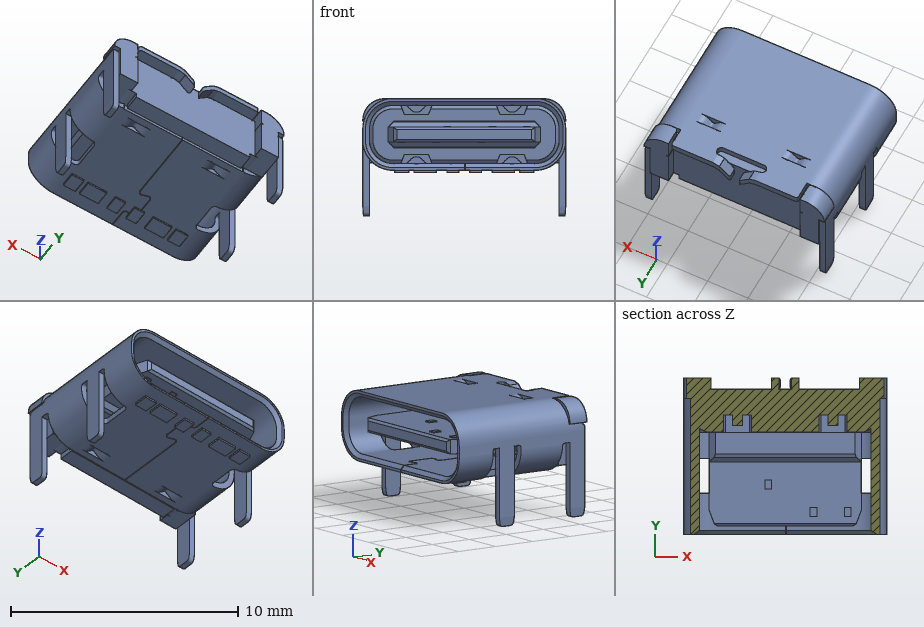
import cadquery as cq


shell_width = 8.94
shell_height = 3.16
shell_depth = 6.9
wall = 0.3
corner_radius = 1.33
lead_in = 0.18
half_width = shell_width / 2
half_height = shell_height / 2
inner_half_width = half_width - wall
inner_half_height = half_height - wall
flat_half_width = half_width - corner_radius
flat_half_height = half_height - corner_radius

leg_width = 0.81
leg_rear_y = 6.79
rear_leg_y = leg_rear_y - leg_width / 2
front_leg_y = 2.58
leg_bottom = -3.58
leg_tip_length = 0.4
leg_tip_taper = 0.06
leg_tip_radius = 0.17
leg_tip_coining = 0.03
floor_end_y = 5.58
rear_relief_top = -0.21
front_relief_start_y = 1.83
front_relief_end_y = 3.34
front_relief_top = -0.03
relief_radius = 0.12
relief_floor_radius = 0.2
floor_cut_x = flat_half_width - 0.05

ear_length = 0.92
ear_bottom = 0.6
ear_inner_x = 3.26
ear_radius = 0.97
ear_corner_radius = 0.17
ear_lower_radius = 0.1
ear_gap = 0.13
ear_start_y = shell_depth - ear_length
shell_top_rear_x = ear_inner_x - ear_gap
shell_rear_radius = 0.1
side_corner_chamfer = 0.13

latch_slot_length = 2.42
latch_slot_width = 0.41
latch_length = 0.5
latch_start_x = 1.04
latch_end_x = 0.22
latch_drop = 0.55
latch_bend = 0.3
latch_bend_drop = 0.09
latch_corner_radius = 0.1
latch_start_y = shell_depth - latch_length

spring_x = 2.105
spring_y = 5.03
spring_width = 0.46
spring_length = 1.17
spring_inner_length = 0.87
spring_dip = 0.29
spring_shoulder_x = 0.26
spring_shoulder_dip = 0.12
spring_valley_x = 0.06
spring_crown_x = 0.16
spring_valley_rise = 0.02

housing_front_y = 4.5
housing_chamfer = 0.15
housing_bottom = -1.25
spring_notch_length = 1.38
spring_notch_floor = 1.05
spring_notch_depth = 0.41
foot_front_y = 5.67
foot_half_width = 3.0
foot_bottom = -1.54

tongue_half_width = 3.35
tongue_half_height = 0.32
tongue_front_y = 0.37
tongue_tip_half_width = 3.08
tongue_taper_length = 0.69
tip_chamfer = 0.11
root_front_y = 3.2
root_half_height = 0.6
root_step_half_height = 0.54
root_lower_slope = 0.2
root_upper_slope = 0.15
root_corner = 0.28

contacts = ((-0.75, 2.0), (1.25, 0.8), (2.75, 0.8))
contact_width = 0.3
contact_length = 0.4
contact_height = 0.04

seam_x = 0.03
seam_width = 0.03
seam_lock_start_y = 1.0
seam_lock_end_y = 2.0
seam_lock_x = -0.6
seam_lock_flare = 0.23
seam_bend_radius = 0.15

pads = ((0.505, 0.53), (1.72, 0.99), (2.75, 0.63))
pad_height = 0.1
pad_start_y = 0.67
pad_end_y = 1.36


def box(x0, x1, y0, y1, z0, z1):
    """Box between two corners."""
    return cq.Workplane("XY").box(x1 - x0, y1 - y0, z1 - z0, centered=False).translate((x0, y0, z0))


def front_sketch(y):
    """Workplane facing the mouth: local axes are X and Z."""
    return cq.Workplane("XZ", origin=(0, y, 0))


def mouth_outline(inset):
    """Rounded mouth outline, inset from the outside of the shell."""
    outline = cq.Sketch().rect(shell_width - 2 * inset, shell_height - 2 * inset)
    return outline.vertices().fillet(corner_radius - inset)


def mouth_prism(inset, y0, y1):
    """Solid with the rounded mouth outline, running from y0 to y1."""
    return front_sketch(y0).placeSketch(mouth_outline(inset)).extrude(y0 - y1)


def both_sides(solid):
    """The solid together with its mirror image about X = 0."""
    return solid.union(solid.mirror("YZ"))


def top_and_bottom(solid):
    """The solid together with its mirror image about Z = 0."""
    return solid.union(solid.mirror("XY"))


def relief_cut(y0, y1, top):
    """Removes the lower shell corner between y0 and y1, rounded at its upper end and in the floor."""
    cut = box(floor_cut_x, half_width + wall, y0, y1, -half_height - wall, top)
    cut = cut.edges("|Z and <X").fillet(relief_floor_radius)
    return cut.edges("|X and >Z").fillet(relief_radius)


def make_leg(y):
    """Flat solder leg with a narrowed, rounded and slightly coined tip."""
    tip_top = leg_bottom + leg_tip_length
    half = leg_width / 2
    tip_half = half - leg_tip_taper
    side = (
        cq.Workplane("YZ", origin=(inner_half_width, y, 0))
        .moveTo(-half, flat_half_height)
        .lineTo(-half, tip_top)
        .lineTo(-tip_half, leg_bottom)
        .lineTo(tip_half, leg_bottom)
        .lineTo(half, tip_top)
        .lineTo(half, flat_half_height)
        .close()
        .extrude(wall)
    )
    side = side.edges("|X and <Z").fillet(leg_tip_radius)
    coining = (
        front_sketch(y - leg_width)
        .moveTo(half_width, tip_top)
        .lineTo(half_width, leg_bottom)
        .lineTo(half_width - leg_tip_coining, leg_bottom)
        .close()
        .extrude(-2 * leg_width)
    )
    return side.cut(coining)


def make_tube():
    """Shell tube with a flared mouth."""
    throat = mouth_outline(wall).moved(cq.Location(cq.Vector(0, 0, -lead_in)))
    flare = front_sketch(0).placeSketch(mouth_outline(wall - lead_in), throat).loft()
    return mouth_prism(0, 0, shell_depth).cut(mouth_prism(wall, 0, shell_depth)).cut(flare)


def cut_shell_rear(shell):
    """Clears the ears, the open rear floor and the side walls behind the rear legs."""
    beyond = shell_depth + wall
    ear_clearance = box(shell_top_rear_x, half_width, ear_start_y, beyond, ear_bottom, half_height)
    side_end = box(flat_half_width, half_width, leg_rear_y, beyond, -half_height, ear_bottom)
    side_corner = (
        cq.Workplane("YZ", origin=(flat_half_width, 0, 0))
        .moveTo(leg_rear_y, ear_bottom)
        .lineTo(leg_rear_y - side_corner_chamfer, ear_bottom)
        .lineTo(leg_rear_y, ear_bottom - side_corner_chamfer)
        .close()
        .extrude(corner_radius)
    )
    open_floor = box(0, flat_half_width, floor_end_y, beyond, -half_height, housing_bottom)
    cuts = ear_clearance.union(side_end).union(side_corner).union(open_floor)
    shell = shell.cut(both_sides(cuts))
    return shell.cut(both_sides(rear_corner_cut()))


def rear_corner_cut():
    """Waste outside the rounded rear corner of the shell top."""
    x0 = shell_top_rear_x - shell_rear_radius
    y0 = shell_depth - shell_rear_radius
    corner = box(x0, shell_top_rear_x, y0, shell_depth, inner_half_height, half_height)
    round_bar = cq.Workplane("XY").center(x0, y0).circle(shell_rear_radius).extrude(half_height)
    return corner.cut(round_bar)


def make_latch():
    """Latch tongue bending down towards the centre from the rear edge of the shell top."""
    bend_x = latch_start_x - latch_bend
    bend_z = half_height - latch_bend_drop
    tip_z = half_height - latch_drop
    strip = (
        front_sketch(latch_start_y)
        .moveTo(latch_start_x, half_height)
        .lineTo(bend_x, bend_z)
        .lineTo(latch_end_x, tip_z)
        .lineTo(latch_end_x, tip_z - wall)
        .lineTo(bend_x, bend_z - wall)
        .lineTo(latch_start_x, inner_half_height)
        .close()
        .extrude(-latch_length)
    )
    return strip.edges("|Z and <X").fillet(latch_corner_radius)


def add_latches(shell):
    """Opens the rear of the shell top and hangs the two latch tongues in it."""
    slot_y = latch_start_y - latch_slot_width / 2
    slot = cq.Workplane("XY").center(0, slot_y).slot2D(latch_slot_length, latch_slot_width)
    slot = slot.extrude(half_height)
    opening = box(-latch_start_x, latch_start_x, slot_y, shell_depth, 0, half_height)
    return shell.cut(slot).cut(opening).union(both_sides(make_latch()))


def make_spring():
    """Strip bowed into the cavity from the shell top by rounded shoulders and a rounded valley."""
    half = spring_length / 2
    inner_half = spring_inner_length / 2
    shoulder_run = half - spring_shoulder_x
    shoulder_radius = (shoulder_run**2 + spring_shoulder_dip**2) / (2 * spring_shoulder_dip)
    shoulder_z = half_height - spring_shoulder_dip
    valley_z = half_height - spring_dip
    crown_z = inner_half_height - spring_dip
    strip = (
        cq.Workplane("XZ", origin=(spring_x, spring_y - spring_width / 2, 0))
        .moveTo(-half, half_height)
        .radiusArc((-spring_shoulder_x, shoulder_z), shoulder_radius)
        .lineTo(-spring_valley_x, valley_z + spring_valley_rise)
        .threePointArc((0, valley_z), (spring_valley_x, valley_z + spring_valley_rise))
        .lineTo(spring_shoulder_x, shoulder_z)
        .radiusArc((half, half_height), shoulder_radius)
        .lineTo(half, inner_half_height)
        .lineTo(inner_half, inner_half_height)
        .lineTo(spring_crown_x, crown_z + spring_valley_rise)
        .threePointArc((0, crown_z), (-spring_crown_x, crown_z + spring_valley_rise))
        .lineTo(-inner_half, inner_half_height)
        .lineTo(-half, inner_half_height)
        .close()
    )
    return strip.extrude(-spring_width)


def add_springs(shell):
    """Replaces four patches of the shell by inward bowed springs."""
    half = spring_length / 2
    y0 = spring_y - spring_width / 2
    window = box(spring_x - half, spring_x + half, y0, y0 + spring_width, inner_half_height, half_height)
    shell = shell.cut(both_sides(top_and_bottom(window)))
    return shell.union(both_sides(top_and_bottom(make_spring())))


def make_seam():
    """Narrow slit that splits the shell floor around an interlocking lug."""
    corners = [
        (seam_x, seam_lock_start_y),
        (seam_lock_x, seam_lock_start_y - seam_lock_flare),
        (seam_lock_x, seam_lock_end_y + seam_lock_flare),
        (seam_x, seam_lock_end_y),
    ]
    route = [(seam_x, -wall), *corners, (seam_x, floor_end_y)]
    path = cq.Workplane("XY").polyline(route).wire().val()
    path = path.fillet(seam_bend_radius)
    slit = cq.Workplane(path).toPending().offset2D(seam_width / 2).extrude(wall)
    return slit.translate((0, 0, -half_height))


def make_pads():
    """Raised pads under the floor."""
    row = cq.Workplane("XY")
    bottom = -half_height - pad_height
    for x, length in pads:
        row = row.union(box(x - length / 2, x + length / 2, pad_start_y, pad_end_y, bottom, -half_height))
    return both_sides(row)


def make_shell():
    """Folded metal shell with legs, springs, latches and pads."""
    shell = cut_shell_rear(make_tube())
    reliefs = relief_cut(front_relief_start_y, front_relief_end_y, front_relief_top).union(
        relief_cut(floor_end_y, shell_depth + wall, rear_relief_top)
    )
    shell = shell.cut(both_sides(reliefs))
    shell = shell.union(both_sides(make_leg(front_leg_y).union(make_leg(rear_leg_y))))
    shell = add_springs(add_latches(shell))
    return shell.union(make_pads()).cut(make_seam())


def make_spring_notch():
    """Trapezoidal clearance in the housing rim for one spring."""
    half = spring_notch_length / 2
    floor_half = spring_notch_floor / 2
    floor_z = inner_half_height - spring_notch_depth
    return (
        front_sketch(housing_front_y)
        .moveTo(spring_x - half, inner_half_height)
        .lineTo(spring_x - floor_half, floor_z)
        .lineTo(spring_x + floor_half, floor_z)
        .lineTo(spring_x + half, inner_half_height)
        .close()
        .extrude(housing_front_y - spring_y - spring_width / 2)
    )


def make_ear():
    """Rear ear with a rounded upper shoulder that stands slightly proud of the shell corner."""
    shoulder = box(ear_inner_x, half_width, ear_start_y, shell_depth, ear_bottom, half_height)
    shoulder = shoulder.edges("|Y and >X and >Z").fillet(ear_radius)
    shoulder = shoulder.edges("|Z and <X and <Y").fillet(ear_corner_radius)
    shoulder = shoulder.edges("|X and <Y and <Z").fillet(ear_lower_radius)
    post = box(ear_inner_x, inner_half_width, floor_end_y, shell_depth, housing_bottom, ear_bottom)
    return shoulder.union(post)


def make_housing():
    """Insulating block that closes the rear of the shell."""
    block = mouth_prism(wall, housing_front_y, latch_start_y).faces("<Y").chamfer(housing_chamfer)
    block = block.cut(both_sides(top_and_bottom(make_spring_notch())))
    foot = box(-foot_half_width, foot_half_width, foot_front_y, latch_start_y, foot_bottom, housing_bottom)
    return block.union(both_sides(make_ear())).union(foot)


def make_tongue():
    """Tongue with a tapered plan, a chamfered tip and a thicker root."""
    taper_end_y = tongue_front_y + tongue_taper_length
    blade = (
        cq.Workplane("XY", origin=(0, 0, -tongue_half_height))
        .moveTo(-tongue_tip_half_width, tongue_front_y)
        .lineTo(tongue_tip_half_width, tongue_front_y)
        .lineTo(tongue_half_width, taper_end_y)
        .lineTo(tongue_half_width, housing_front_y)
        .lineTo(-tongue_half_width, housing_front_y)
        .lineTo(-tongue_half_width, taper_end_y)
        .close()
        .extrude(2 * tongue_half_height)
        .faces("<Y")
        .chamfer(tip_chamfer)
    )
    root = front_sketch(root_front_y).rect(2 * tongue_half_width, 2 * root_half_height)
    root = root.extrude(root_front_y - housing_front_y)
    root = root.edges("|Y").chamfer(root_corner)
    step_y = root_front_y + root_lower_slope
    slope = (
        cq.Workplane("YZ", origin=(-tongue_half_width, 0, 0))
        .moveTo(root_front_y, tongue_half_height)
        .lineTo(step_y, root_step_half_height)
        .lineTo(step_y + root_upper_slope, root_half_height)
        .lineTo(root_front_y, root_half_height)
        .close()
        .extrude(2 * tongue_half_width)
    )
    return blade.union(root.cut(top_and_bottom(slope)))


def make_contacts():
    """Raised contact ends on both faces of the tongue."""
    row = cq.Workplane("XY")
    half = contact_width / 2
    top = tongue_half_height + contact_height
    for x, y in contacts:
        row = row.union(box(x - half, x + half, y, y + contact_length, 0, top))
    return row.union(row.mirror("XY").mirror("YZ"))


result = make_shell().union(make_housing()).union(make_tongue()).union(make_contacts())